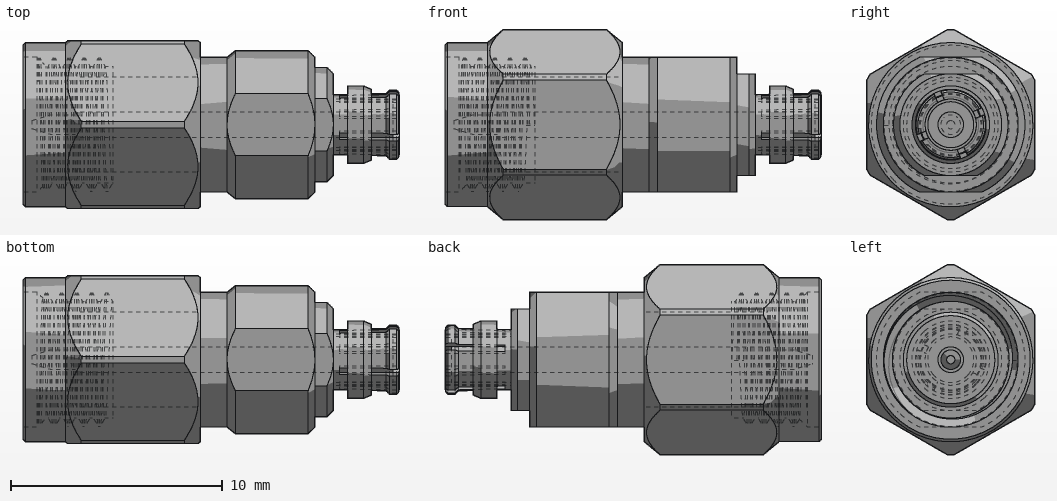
import cadquery as cq
import math

TOTAL_LENGTH = 17.8

NUT_MOUTH_RADIUS = 3.88
NUT_MOUTH_CHAMFER = 0.12
HEX_START = 2.01
HEX_END = 8.38
HEX_ACROSS_FLATS = 7.94
HEX_CORNER_RADIUS = 4.495
HEX_CHAMFER_LENGTH = 0.75

BORE_ENTRY_RADIUS = 3.19
BORE_ENTRY_DEPTH = 0.68
BORE_DEPTH = 4.27
THREAD_MINOR_RADIUS = 2.76
THREAD_MAJOR_RADIUS = 3.15
THREAD_PITCH = 0.71
THREAD_START = 0.23
THREAD_ROOT_FLAT = 0.09
THREAD_HALF_ANGLE = 30.0
THREAD_CUT_OVERLAP = 0.05

POST_FACE = 2.47
POST_RADIUS = 2.25
POST_CHAMFER_DEPTH = 0.16
POST_CHAMFER_LENGTH = 0.09

PIN_TIP = 0.45
PIN_TIP_RADIUS = 0.2
PIN_CONE_END = 1.32
PIN_RADIUS = 0.46
PIN_SHANK_RADIUS = 0.6

NECK_RADIUS = 3.19
BARREL_START = 9.65
BARREL_END = 13.8
BARREL_RADIUS = 3.5
BARREL_FRONT_CHAMFER_LENGTH = 0.4
BARREL_FLAT_HEIGHT = NECK_RADIUS
SHOULDER_END = 14.67
SHOULDER_RADIUS = 2.7
SHOULDER_CHAMFER = 0.3
SHOULDER_FLAT_HEIGHT = SHOULDER_RADIUS - SHOULDER_CHAMFER

COLLET_ROOT_RADIUS = 1.42
COLLET_NECK_RADIUS = 1.48
BEAD_RAMP_START = 17.16
BEAD_START = 17.32
BEAD_END = 17.65
BEAD_RADIUS = 1.64
BEAD_CHAMFER = 0.09
COLLET_RIM_RADIUS = 1.32
COLLET_BORE_RADIUS = 1.21
SLOT_COUNT = 4
SLOT_START = 14.95
SLOT_WIDTH = 0.34
FIRST_SLOT_ANGLE = 22.5

CORE_RADIUS = 1.09
CORE_END = 17.48

COLLAR_START = 15.35
COLLAR_TAPER_START = 16.1
COLLAR_END = 16.46
COLLAR_RADIUS = 1.83
COLLAR_NOSE_RADIUS = 1.67


def turned(points):
    """Solid of revolution about X from a closed (x, radius) outline."""
    return cq.Workplane("XZ").polyline(points).close().revolve(360, (0, 0, 0), (1, 0, 0))


def rod(start, end, radius):
    """Plain cylinder along X."""
    return turned([(start, 0), (start, radius), (end, radius), (end, 0)])


def with_flats(solid, flat_height):
    """Trim a turned solid to a flat at +Z and at -Z."""
    slab = cq.Workplane("XY").box(2 * TOTAL_LENGTH, TOTAL_LENGTH, 2 * flat_height)
    return solid.intersect(slab)



def nut_blank():
    """Hexagon with turned ends and a round mouth in front of it."""
    hexagon = (
        cq.Workplane("YZ")
        .workplane(offset=HEX_START)
        .polygon(6, HEX_ACROSS_FLATS, circumscribed=True)
        .extrude(HEX_END - HEX_START)
    )
    envelope = turned([
        (HEX_START, 0),
        (HEX_START, NUT_MOUTH_RADIUS),
        (HEX_START + HEX_CHAMFER_LENGTH, HEX_CORNER_RADIUS),
        (HEX_END - HEX_CHAMFER_LENGTH, HEX_CORNER_RADIUS),
        (HEX_END, NUT_MOUTH_RADIUS),
        (HEX_END, 0),
    ])
    mouth = rod(0, HEX_START, NUT_MOUTH_RADIUS).faces("<X").chamfer(NUT_MOUTH_CHAMFER)
    return mouth.union(hexagon.intersect(envelope))


def nut_bore():
    """Entry counterbore, 45 degree lead-in and thread core."""
    lead_in_end = BORE_ENTRY_DEPTH + BORE_ENTRY_RADIUS - THREAD_MINOR_RADIUS
    return turned([
        (0, 0),
        (0, BORE_ENTRY_RADIUS),
        (BORE_ENTRY_DEPTH, BORE_ENTRY_RADIUS),
        (lead_in_end, THREAD_MINOR_RADIUS),
        (BORE_DEPTH, THREAD_MINOR_RADIUS),
        (BORE_DEPTH, 0),
    ])


def thread_groove():
    """Helical V groove, from inside the entry counterbore to the bore floor."""
    inner_radius = THREAD_MINOR_RADIUS - THREAD_CUT_OVERLAP
    depth = THREAD_MAJOR_RADIUS - inner_radius
    half_root = THREAD_ROOT_FLAT / 2
    half_mouth = half_root + depth * math.tan(math.radians(THREAD_HALF_ANGLE))
    last_turn = BORE_DEPTH - half_mouth
    axis = cq.Vector(1, 0, 0)
    thread_origin = cq.Vector(THREAD_START, 0, 0)
    helix = cq.Wire.makeHelix(THREAD_PITCH, last_turn - THREAD_START, inner_radius, thread_origin, axis)
    helix_start = helix.startPoint()
    outward = cq.Vector(0, helix_start.y, helix_start.z).normalized()
    groove_plane = cq.Plane(origin=helix_start, xDir=axis, normal=axis.cross(outward))
    return (
        cq.Workplane(groove_plane)
        .polyline([(-half_mouth, 0), (half_mouth, 0), (half_root, depth), (-half_root, depth)])
        .close()
        .sweep(cq.Workplane(helix), isFrenet=True)
    )


def make_nut():
    post_hole = rod(BORE_DEPTH, HEX_END, POST_RADIUS)
    return nut_blank().cut(nut_bore()).cut(post_hole).cut(thread_groove())



def front_post():
    return turned([
        (POST_FACE, 0),
        (POST_FACE, POST_RADIUS - POST_CHAMFER_DEPTH),
        (POST_FACE + POST_CHAMFER_LENGTH, POST_RADIUS),
        (HEX_END, POST_RADIUS),
        (HEX_END, 0),
    ])


def barrel():
    blank = turned([
        (BARREL_START, 0),
        (BARREL_START, NECK_RADIUS),
        (BARREL_START + BARREL_FRONT_CHAMFER_LENGTH, BARREL_RADIUS),
        (BARREL_END - (BARREL_RADIUS - NECK_RADIUS), BARREL_RADIUS),
        (BARREL_END, NECK_RADIUS),
        (BARREL_END, 0),
    ])
    return with_flats(blank, BARREL_FLAT_HEIGHT)


def shoulder():
    blank = rod(BARREL_END, SHOULDER_END, SHOULDER_RADIUS).faces(">X").chamfer(SHOULDER_CHAMFER)
    return with_flats(blank, SHOULDER_FLAT_HEIGHT)


def collet():
    """Tube that widens slightly to a bead, slotted into spring fingers."""
    tube = turned([
        (SHOULDER_END, COLLET_BORE_RADIUS),
        (SHOULDER_END, COLLET_ROOT_RADIUS),
        (BEAD_RAMP_START, COLLET_NECK_RADIUS),
        (BEAD_START, BEAD_RADIUS),
        (BEAD_END, BEAD_RADIUS),
        (BEAD_END + BEAD_CHAMFER, BEAD_RADIUS - BEAD_CHAMFER),
        (TOTAL_LENGTH, COLLET_RIM_RADIUS),
        (TOTAL_LENGTH, COLLET_BORE_RADIUS),
    ])
    slot = cq.Workplane("XY").box(
        TOTAL_LENGTH - SLOT_START, 2 * BEAD_RADIUS, SLOT_WIDTH, centered=(False, False, True)
    ).translate((SLOT_START, 0, 0))
    for index in range(SLOT_COUNT):
        angle = FIRST_SLOT_ANGLE + index * 360 / SLOT_COUNT
        tube = tube.cut(slot.rotate((0, 0, 0), (1, 0, 0), angle))
    return tube


def collet_radius_at(x):
    """Outer radius of the widening stretch of the collet."""
    share = (x - SHOULDER_END) / (BEAD_RAMP_START - SHOULDER_END)
    return COLLET_ROOT_RADIUS + share * (COLLET_NECK_RADIUS - COLLET_ROOT_RADIUS)


def collar():
    return turned([
        (COLLAR_START, collet_radius_at(COLLAR_START)),
        (COLLAR_START, COLLAR_RADIUS),
        (COLLAR_TAPER_START, COLLAR_RADIUS),
        (COLLAR_END, COLLAR_NOSE_RADIUS),
        (COLLAR_END, collet_radius_at(COLLAR_END)),
    ])


def make_body():
    neck = rod(HEX_END, BARREL_START, NECK_RADIUS)
    core = rod(SHOULDER_END, CORE_END, CORE_RADIUS)
    pin_hole = rod(POST_FACE, CORE_END, PIN_SHANK_RADIUS)
    solid_part = front_post().union(neck).union(barrel()).union(shoulder()).union(core)
    return solid_part.union(collet()).union(collar()).cut(pin_hole)



def make_pin():
    """Pointed contact whose thicker shank starts flush with the post face."""
    return turned([
        (PIN_TIP, 0),
        (PIN_TIP, PIN_TIP_RADIUS),
        (PIN_CONE_END, PIN_RADIUS),
        (POST_FACE, PIN_RADIUS),
        (POST_FACE, PIN_SHANK_RADIUS),
        (CORE_END, PIN_SHANK_RADIUS),
        (CORE_END, 0),
    ])


nut = make_nut()
body = make_body()
pin = make_pin()
result = cq.Compound.makeCompound([nut.val(), body.val(), pin.val()])